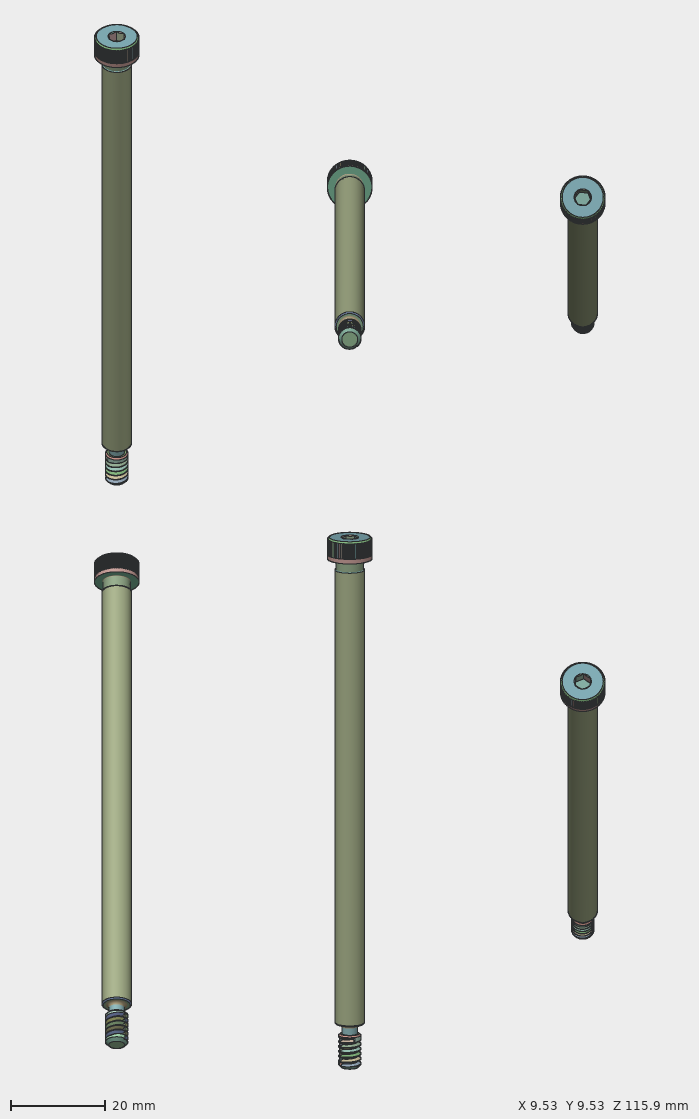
import cadquery as cq
import math

INCH = 25.4

head_diameter = 3 / 8 * INCH
head_height = 3 / 16 * INCH
head_chamfer = 0.4
socket_width = 1 / 8 * INCH
socket_angle = 90
socket_depth = head_height / 2
socket_corner_diameter = socket_width / math.cos(math.pi / 6)

knurl_count = 60
knurl_depth = 0.15
knurl_plain_height = 1.0
knurl_pitch = math.pi * head_diameter / knurl_count
knurl_mouth_half = 0.8 * knurl_pitch

shoulder_diameter = 1 / 4 * INCH
shoulder_length = 4 * INCH
shoulder_chamfer = 0.3
relief_diameter = 5.85
relief_length = 2.4
relief_fillet = 0.1

thread_diameter = 0.19 * INCH
thread_pitch = INCH / 24
thread_tail_length = 3 / 8 * INCH
thread_top = 7.4
core_diameter = 3.3
tip_diameter = 3.4
thread_end_chamfer = 0.35
tip_chamfer = (thread_diameter - tip_diameter) / 2
neck_fillet = 0.7
crest_width = thread_pitch / 8
flank_angle = math.radians(30)
groove_start_angle = 180
groove_start = 0.98
groove_full_turns = 5
groove_last_turn = 0.25
groove_overshoot = 0.08

shoulder_top = thread_tail_length + shoulder_length
head_top = shoulder_top + head_height


def cylinder(diameter, bottom, top):
    return cq.Workplane("XY").workplane(offset=bottom).circle(diameter / 2).extrude(top - bottom)


def make_shank():
    """Neck above the thread, shoulder and relief as one revolved profile."""
    core_radius = core_diameter / 2
    shoulder_radius = shoulder_diameter / 2
    relief_radius = relief_diameter / 2
    relief_bottom = shoulder_top - relief_length
    profile = (
        cq.Workplane("XZ")
        .moveTo(0, thread_top)
        .lineTo(core_radius, thread_top)
        .lineTo(core_radius, thread_tail_length - neck_fillet)
        .radiusArc((core_radius + neck_fillet, thread_tail_length), neck_fillet)
        .lineTo(shoulder_radius - shoulder_chamfer, thread_tail_length)
        .lineTo(shoulder_radius, thread_tail_length + shoulder_chamfer)
        .lineTo(shoulder_radius, relief_bottom)
        .lineTo(relief_radius + relief_fillet, relief_bottom)
        .radiusArc((relief_radius, relief_bottom + relief_fillet), relief_fillet)
        .lineTo(relief_radius, shoulder_top - relief_fillet)
        .radiusArc((relief_radius + relief_fillet, shoulder_top), relief_fillet)
        .lineTo(0, shoulder_top)
        .close()
    )
    return profile.revolve(360, (0, 0, 0), (0, 1, 0))


def make_thread_groove(turns):
    """Right-hand V groove, at most one turn long, starting at the tip end of the thread."""
    crest_radius = thread_diameter / 2
    root_radius = core_diameter / 2
    outer_radius = crest_radius + groove_overshoot
    crest_half = (thread_pitch - crest_width) / 2
    outer_half = crest_half + groove_overshoot * math.tan(flank_angle)
    root_half = crest_half - (crest_radius - root_radius) * math.tan(flank_angle)
    helix = cq.Workplane(cq.Wire.makeHelix(thread_pitch, thread_pitch * turns, root_radius))
    return (
        cq.Workplane("XZ")
        .moveTo(root_radius, -root_half)
        .lineTo(outer_radius, -outer_half)
        .lineTo(outer_radius, outer_half)
        .lineTo(root_radius, root_half)
        .close()
        .sweep(helix, isFrenet=True)
        .rotate((0, 0, 0), (0, 0, 1), groove_start_angle)
        .translate((0, 0, groove_start))
    )


def make_thread():
    """Cylinder chamfered at both ends, with the groove cut turn by turn and ending below the top."""
    thread = cylinder(thread_diameter, 0, thread_top)
    thread = thread.faces("<Z").chamfer(tip_chamfer).faces(">Z").chamfer(thread_end_chamfer)
    full_turn = make_thread_groove(1)
    for turn in range(groove_full_turns):
        thread = thread.cut(full_turn.translate((0, 0, turn * thread_pitch)))
    last_turn = make_thread_groove(groove_last_turn)
    return thread.cut(last_turn.translate((0, 0, groove_full_turns * thread_pitch)))


def make_head():
    return cylinder(head_diameter, shoulder_top, head_top).faces(">Z").chamfer(head_chamfer)


def make_knurl_grooves():
    """Straight V grooves around the head, ending below its top chamfer."""
    head_radius = head_diameter / 2
    groove = (
        cq.Workplane("XY")
        .workplane(offset=shoulder_top + knurl_plain_height)
        .moveTo(head_radius - knurl_depth, 0)
        .lineTo(head_radius + knurl_depth, -knurl_mouth_half)
        .lineTo(head_radius + knurl_depth, knurl_mouth_half)
        .close()
        .extrude(head_height - knurl_plain_height - head_chamfer)
    )
    grooves = cq.Workplane("XY")
    for index in range(knurl_count):
        grooves = grooves.add(groove.rotate((0, 0, 0), (0, 0, 1), 360 / knurl_count * index))
    return cq.Workplane(cq.Compound.makeCompound(grooves.vals()))


def make_socket():
    """Hexagonal key socket with a countersunk mouth as wide as its corners."""
    hexagon = (
        cq.Workplane("XY")
        .workplane(offset=head_top - socket_depth)
        .polygon(6, socket_corner_diameter)
        .extrude(socket_depth)
        .rotate((0, 0, 0), (0, 0, 1), socket_angle)
    )
    mouth_radius = socket_corner_diameter / 2
    mouth = cq.Workplane(cq.Solid.makeCone(0, mouth_radius, mouth_radius))
    return hexagon.union(mouth.translate((0, 0, head_top - mouth_radius)))


head = make_head().cut(make_knurl_grooves()).cut(make_socket())
result = make_shank().union(make_thread()).union(head)